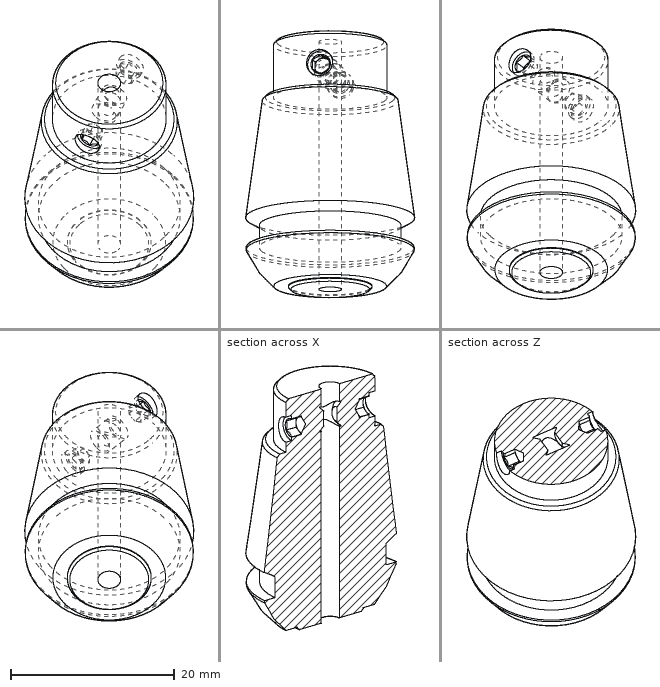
import cadquery as cq
import math

total_height = 31.0
shoulder_z = 24.02
skirt_z = 8.95
groove_top_z = 8.0
flange_top_z = 5.25
flange_rim = 0.3
knuckle_z = 2.35
base_z = 0.4

neck_r = 6.98
shoulder_r = 8.35
skirt_r = 20.75 / 2
groove_r = 17.4 / 2
flange_r = 20.6 / 2
knuckle_r = 8.8
base_r = 6.9
boss_r = 5.15
edge_chamfer = 0.4
boss_chamfer = 0.3

bore_d = 2.8
screw_d = 3.25
screw_z = 26.97
screw_face_y = 6.08
screw_tip_y = 1.02
tip_chamfer = 0.62
socket_mouth_d = 2.42
socket_flats = 2.08
socket_corners = socket_flats / math.cos(math.pi / 6)
socket_depth = 1.55
socket_turn = 30
socket_cone_depth = 0.62


def turned_body():
    """Revolve the outer outline around Z."""
    outline = (
        cq.Workplane("XZ")
        .moveTo(0, 0)
        .lineTo(boss_r - boss_chamfer, 0)
        .lineTo(boss_r, boss_chamfer)
        .lineTo(boss_r, base_z)
        .lineTo(base_r, base_z)
        .lineTo(knuckle_r, knuckle_z)
        .lineTo(flange_r, flange_top_z - flange_rim)
        .lineTo(flange_r, flange_top_z)
        .lineTo(groove_r, flange_top_z)
        .lineTo(groove_r, groove_top_z)
        .lineTo(skirt_r, skirt_z)
        .lineTo(shoulder_r, shoulder_z - edge_chamfer)
        .lineTo(shoulder_r - edge_chamfer, shoulder_z)
        .lineTo(neck_r, shoulder_z)
        .lineTo(neck_r, total_height - edge_chamfer)
        .lineTo(neck_r - edge_chamfer, total_height)
        .lineTo(0, total_height)
        .close()
    )
    return outline.revolve(360, (0, 0, 0), (0, 1, 0))


def cone_recess(mouth_y, mouth_d, depth):
    """Conical cutter that narrows to a point in the +Y direction."""
    outline = (
        cq.Workplane("XY")
        .moveTo(0, mouth_y)
        .lineTo(mouth_d / 2, mouth_y)
        .lineTo(0, mouth_y + depth)
        .close()
    )
    return outline.revolve(360, (0, 0, 0), (0, 1, 0))


def set_screw():
    """Screw on the -Y side: chamfered tip and a drilled hexagon socket."""
    screw = (
        cq.Workplane("XZ", origin=(0, -screw_tip_y, 0))
        .circle(screw_d / 2)
        .extrude(screw_face_y - screw_tip_y)
        .faces(">Y")
        .chamfer(tip_chamfer)
    )
    hexagon = (
        cq.Workplane("XZ", origin=(0, -screw_face_y + socket_depth, 0))
        .polygon(6, socket_corners)
        .extrude(socket_depth)
        .rotate((0, 0, 0), (0, 1, 0), socket_turn)
    )
    countersink = cone_recess(-screw_face_y, socket_mouth_d, socket_mouth_d / 2)
    drill_point = cone_recess(-screw_face_y + socket_depth, socket_flats, socket_cone_depth)
    screw = screw.cut(hexagon).cut(countersink).cut(drill_point)
    return screw.translate((0, 0, screw_z))


bore = cq.Workplane("XY").circle(bore_d / 2).extrude(total_height)
screw_hole = (
    cq.Workplane("XZ")
    .center(0, screw_z)
    .circle(screw_d / 2)
    .extrude(skirt_r, both=True)
)
front_screw = set_screw()

result = turned_body().cut(bore).cut(screw_hole)
result = result.union(front_screw).union(front_screw.mirror("XZ"))